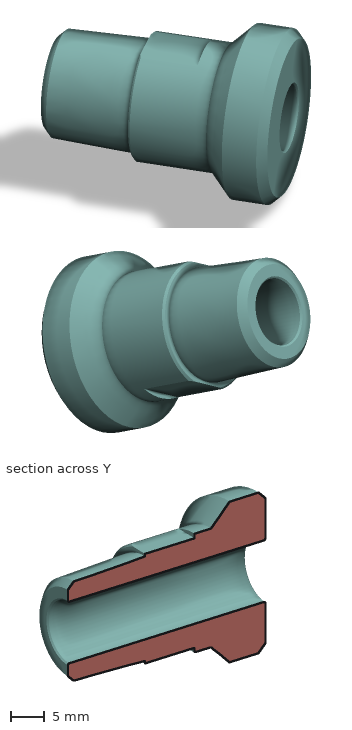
import cadquery as cq

length = 36.0
flange_diameter = 26.4
collar_diameter = 19.5
bore_diameter = 10.0

spigot_length = 14.0
spigot_tip_radius = 8.17
spigot_root_radius = 8.6
spigot_chamfer = 1.1

collar_end = 26.03
collar_chamfer = 0.32
flange_width = 6.6
flange_chamfer = 1.35

flat_spacing = 18.0
flat_length = 9.0

bore_chamfer = 0.25

flange_radius = flange_diameter / 2
collar_radius = collar_diameter / 2
bore_radius = bore_diameter / 2


def turned_body():
    """Solid of revolution with the bore cut through it."""
    outline = [
        (0, bore_radius + bore_chamfer),
        (0, spigot_tip_radius - spigot_chamfer),
        (spigot_chamfer, spigot_tip_radius),
        (spigot_length, spigot_root_radius),
        (spigot_length, collar_radius - collar_chamfer),
        (spigot_length + collar_chamfer, collar_radius),
        (collar_end, collar_radius),
        (length - flange_width, flange_radius),
        (length - flange_chamfer, flange_radius),
        (length, flange_radius - flange_chamfer),
        (length, bore_radius + bore_chamfer),
        (length - bore_chamfer, bore_radius),
        (bore_chamfer, bore_radius),
    ]
    return cq.Workplane("XY").polyline(outline).close().revolve(360, (0, 0, 0), (1, 0, 0))


def flat_cutter(side):
    """Block outside one wrench flat; side is +1 for the top, -1 for the bottom."""
    height = collar_radius
    center_height = side * (flat_spacing + height) / 2
    return (
        cq.Workplane("XY")
        .box(flat_length, collar_diameter, height, centered=(False, True, True))
        .translate((spigot_length, 0, center_height))
    )


result = turned_body()
for side in (1, -1):
    result = result.cut(flat_cutter(side))